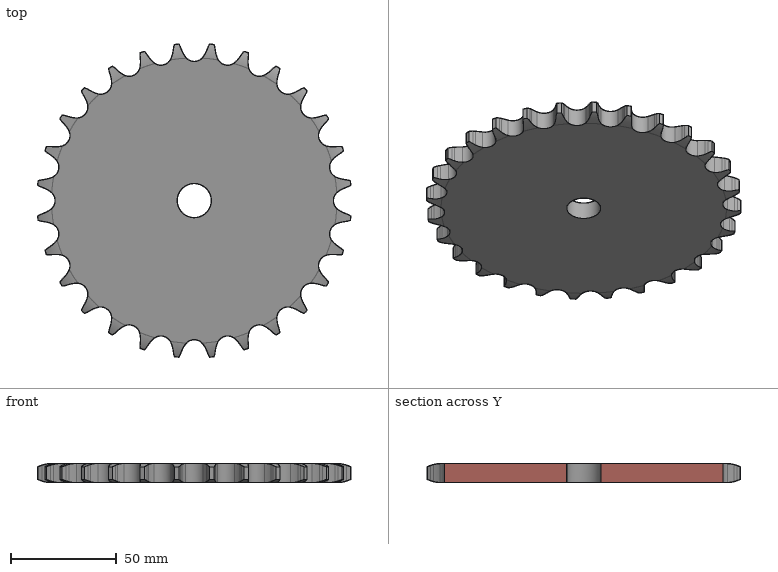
import cadquery as cq
import math


pitch = 15.875
roller_diameter = 10.16

tooth_count = 28
thickness = 9.1
bore_diameter = 16.0
tip_diameter = 148.7

shoulder_radius = 16.0
shoulder_drop = 1.6

seat_factor = 0.5025
seat_clearance = 0.0381
working_factor = 0.8
topping_factor = 1.4
seat_angle_limit = 55
seat_angle_per_tooth = 60
working_angle_limit = 18
working_angle_per_tooth = 56

tooth_angle = 2 * math.pi / tooth_count
pitch_radius = pitch / (2 * math.sin(tooth_angle / 2))
tip_radius = tip_diameter / 2
seat_radius = seat_factor * roller_diameter + seat_clearance
seat_half_angle = math.radians(seat_angle_limit - seat_angle_per_tooth / tooth_count)
working_offset = working_factor * roller_diameter
working_radius = seat_radius + working_offset
working_angle = math.radians(working_angle_limit - working_angle_per_tooth / tooth_count)
topping_offset = topping_factor * roller_diameter


def polar(radius, angle, center=(0.0, 0.0)):
    """Point at a radius and angle (radians) from a center."""
    return (
        center[0] + radius * math.cos(angle),
        center[1] + radius * math.sin(angle),
    )


def direction(start, end):
    """Angle (radians) of the line from start to end."""
    return math.atan2(end[1] - start[1], end[0] - start[0])


def flank_points():
    """Points of one flank, from the seat to the tip circle, for a gap centred on the +X axis.

    The seat is centred on the pitch circle and all joints are tangent.
    """
    seat_center = (pitch_radius, 0.0)
    seat_end_angle = math.pi - seat_half_angle
    seat_end = polar(seat_radius, seat_end_angle, seat_center)

    working_center = polar(-working_offset, seat_end_angle, seat_center)
    working_end_angle = seat_end_angle - working_angle
    working_middle = polar(working_radius, seat_end_angle - working_angle / 2, working_center)
    working_end = polar(working_radius, working_end_angle, working_center)

    topping_center = polar(topping_offset, math.pi / 2 + tooth_angle / 2, seat_center)
    centers_distance = math.dist(working_center, topping_center)
    turn = direction(working_center, topping_center) - working_end_angle
    straight_length = -centers_distance * math.sin(turn)
    straight_end = polar(straight_length, working_end_angle - math.pi / 2, working_end)

    topping_radius = math.dist(topping_center, straight_end)
    center_radius = math.hypot(*topping_center)
    center_angle = direction((0.0, 0.0), topping_center)
    cosine = (tip_radius**2 + center_radius**2 - topping_radius**2) / (2 * tip_radius * center_radius)
    flank_end = polar(tip_radius, center_angle - math.acos(cosine))
    topping_middle_angle = (
        direction(topping_center, straight_end) + direction(topping_center, flank_end)
    ) / 2
    topping_middle = polar(topping_radius, topping_middle_angle, topping_center)

    return seat_end, working_middle, working_end, straight_end, topping_middle, flank_end


def toothed_plate():
    """Full-thickness plate with one gap centred on the +Y axis."""
    flank = flank_points()
    root = (pitch_radius - seat_radius, 0.0)
    tip = polar(tip_radius, tooth_angle / 2)

    def placed(point, gap_angle, side):
        """Point of the +X gap moved to another gap, on its +angle (1) or -angle (-1) side."""
        radius = math.hypot(*point)
        return polar(radius, gap_angle + side * math.atan2(point[1], point[0]))

    first_gap = math.pi / 2
    outline = cq.Workplane("XY").workplane(offset=-thickness / 2)
    outline = outline.moveTo(*placed(flank[-1], first_gap, -1))
    for index in range(tooth_count):
        gap = first_gap + index * tooth_angle
        seat_in, working_in, working_start, straight_in, topping_in, _ = [
            placed(point, gap, -1) for point in flank
        ]
        seat_out, working_out, working_end, straight_out, topping_out, flank_out = [
            placed(point, gap, 1) for point in flank
        ]
        next_flank = placed(flank[-1], gap + tooth_angle, -1)

        outline = (
            outline.threePointArc(topping_in, straight_in)
            .lineTo(*working_start)
            .threePointArc(working_in, seat_in)
            .threePointArc(placed(root, gap, 1), seat_out)
            .threePointArc(working_out, working_end)
            .lineTo(*straight_out)
            .threePointArc(topping_out, flank_out)
            .threePointArc(placed(tip, gap, 1), next_flank)
        )
    return outline.close().extrude(thickness)


def shoulder_envelope():
    """Disc whose rim curves in towards both faces, tangent to the faces."""
    half_thickness = thickness / 2
    rise = shoulder_radius - shoulder_drop
    width = math.sqrt(shoulder_radius**2 - rise**2)
    face_radius = tip_radius - width
    middle_angle = (math.pi / 2 + math.asin(rise / shoulder_radius)) / 2
    middle_radius, middle_height = polar(
        shoulder_radius, middle_angle, (face_radius, half_thickness - shoulder_radius)
    )
    rim_height = half_thickness - shoulder_drop

    profile = (
        cq.Workplane("XZ")
        .moveTo(0, -half_thickness)
        .lineTo(face_radius, -half_thickness)
        .threePointArc((middle_radius, -middle_height), (tip_radius, -rim_height))
        .lineTo(tip_radius, rim_height)
        .threePointArc((middle_radius, middle_height), (face_radius, half_thickness))
        .lineTo(0, half_thickness)
        .close()
    )
    return profile.revolve(360, (0, 0, 0), (0, 1, 0))


def bore():
    """Cylinder that cuts the central through hole."""
    return cq.Workplane("XY").circle(bore_diameter / 2).extrude(thickness, both=True)


result = toothed_plate().intersect(shoulder_envelope()).cut(bore())